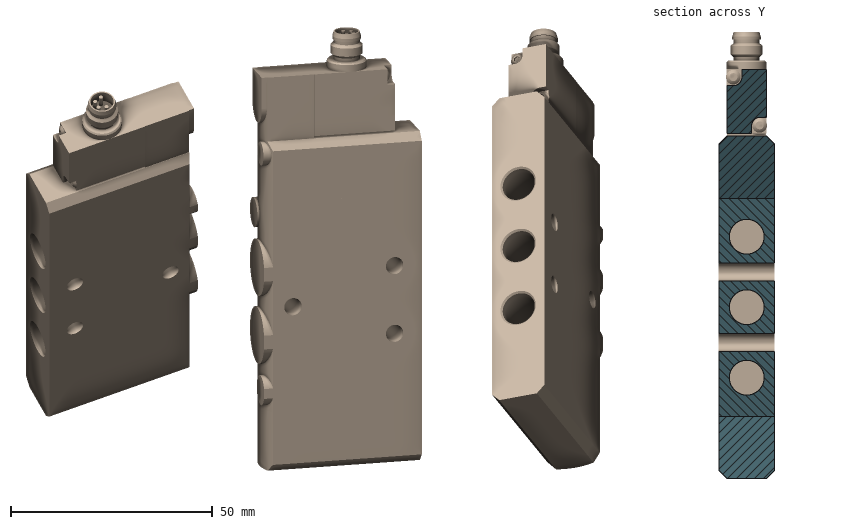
import cadquery as cq
import math

BLOCK_WIDTH = 14.0
BLOCK_HEIGHT = 85.0
BLOCK_DEPTH = 39.9
BLOCK_SIDE_DEPTH = 38.1
END_CHAMFER = 2.0
CAP_HEIGHT = 15.5
UPPER_JOINT = BLOCK_HEIGHT - CAP_HEIGHT
TOTAL_DEPTH = 40.4
TOTAL_HEIGHT = 110.7

HEAD_WIDTH = 9.9
POST_WIDTH = 9.7
PILOT_TOP = 101.5
PILOT_FRONT = 6.3
POST_FRONT = 27.0
HEAD_BOTTOM = 85.6

PORT_MID = BLOCK_HEIGHT / 2
PORT_PITCH = 17.5
PORT_DIAMETER = 8.5
PORT_MOUTH_DIAMETER = 9.4
PORT_DEPTH = 13.3
PORT_CHAMFER = (PORT_MOUTH_DIAMETER - PORT_DIAMETER) / 2

MOUNT_DIAMETER = 4.4
MOUNT_FRONT = 7.0
MOUNT_REAR = 33.0

LARGE_BOSS_DIAMETER = 14.4
SMALL_BOSS_DIAMETER = 7.5
TOP_BOSS_DIAMETER = 6.0
BOSS_OFFSET = 3.4
SMALL_BOSS_RISE = 22.0
TOP_BOSS_HEIGHT = 81.6
PAD_WIDTH = 9.4
PAD_BOTTOM = 88.8
BOSS_EMBED = 2.2
BOSS_ROOT = BLOCK_SIDE_DEPTH - BOSS_EMBED

PLUG_Y = 17.5
PLUG_BASE_DIAMETER = HEAD_WIDTH
PLUG_BASE_TOP = 103.6
PLUG_BASE_CHAMFER = 0.3
PLUG_NECK_DIAMETER = 6.5
COLLAR_DIAMETER = 8.0
COLLAR_BEVEL_BOTTOM = 104.5
COLLAR_BOTTOM = 105.2
COLLAR_TOP = 107.3
COLLAR_BEVEL_TOP = 107.9
RIM_DIAMETER = 7.1
RIM_BOTTOM = 108.8
RIM_CHAMFER = 0.3
RIM_CHAMFER_HEIGHT = 1.1
SOCKET_DIAMETER = 5.8
SOCKET_DEPTH = 3.3
PIN_DIAMETER = 1.0
PIN_LENGTH = 3.0
PIN_POSITIONS = [(-1.7, 0.4), (1.7, 0.4), (-1.0, -1.4), (1.0, -1.4)]

SCREW_INSET_X = 1.7
SCREW_INSET_Z = 2.0
POCKET_DIAMETER = 4.0
POCKET_DEPTH = 2.0
SCREW_HEAD_DIAMETER = 3.7
SCREW_FLAT_DIAMETER = 2.0
SCREW_HEAD_HEIGHT = 0.7
HEX_ACROSS_FLATS = 1.4
HEX_DEPTH = 0.4
POCKET_FLOOR = PILOT_FRONT + POCKET_DEPTH

screw_x = HEAD_WIDTH / 2 - SCREW_INSET_X
SCREW_CORNERS = [
    (-screw_x, PILOT_TOP - SCREW_INSET_Z, -1, 1),
    (screw_x, HEAD_BOTTOM + SCREW_INSET_Z, 1, -1),
]


def rod_along_y(x, z, diameter, y_start, y_end):
    """Cylinder parallel to Y."""
    solid = cq.Solid.makeCylinder(
        diameter / 2, y_end - y_start, cq.Vector(x, y_start, z), cq.Vector(0, 1, 0)
    )
    return cq.Workplane(solid)


def box_between(x_range, y_range, z_range):
    """Box given by its limits along each axis."""
    size = [high - low for low, high in (x_range, y_range, z_range)]
    corner = (x_range[0], y_range[0], z_range[0])
    return cq.Workplane().box(*size, centered=False).translate(corner)


def bowed_prism(height):
    """Prism standing on Z = 0 with flat front and sides and a bowed rear face."""
    half = BLOCK_WIDTH / 2
    return (
        cq.Workplane()
        .moveTo(-half, 0)
        .lineTo(half, 0)
        .lineTo(half, BLOCK_SIDE_DEPTH)
        .threePointArc((0, BLOCK_DEPTH), (-half, BLOCK_SIDE_DEPTH))
        .close()
        .extrude(height)
    )


def block_section(z_bottom, z_top):
    """Part of the valve block between two heights, with the long end edges chamfered."""
    half = BLOCK_WIDTH / 2
    inner = half - END_CHAMFER
    profile = (
        cq.Workplane("XZ")
        .polyline([
            (-inner, 0), (inner, 0), (half, END_CHAMFER), (half, BLOCK_HEIGHT - END_CHAMFER),
            (inner, BLOCK_HEIGHT), (-inner, BLOCK_HEIGHT),
            (-half, BLOCK_HEIGHT - END_CHAMFER), (-half, END_CHAMFER),
        ])
        .close()
        .extrude(-TOTAL_DEPTH)
    )
    section = box_between((-half, half), (0, TOTAL_DEPTH), (z_bottom, z_top))
    return bowed_prism(BLOCK_HEIGHT).intersect(profile).intersect(section)


def make_pilot():
    """Post on the block, sharing its bowed rear face, and the head in front of the post."""
    half_post = POST_WIDTH / 2
    half_head = HEAD_WIDTH / 2
    post_limits = box_between((-half_post, half_post), (POST_FRONT, TOTAL_DEPTH), (UPPER_JOINT, PILOT_TOP))
    post = bowed_prism(PILOT_TOP).intersect(post_limits)
    head = box_between((-half_head, half_head), (PILOT_FRONT, POST_FRONT), (HEAD_BOTTOM, PILOT_TOP))
    return post.union(head)


def rear_boss(x, z, diameter):
    """Round boss on the rear face, cut off flush with the sides of the block."""
    half = BLOCK_WIDTH / 2
    limits = box_between((-half, half), (BOSS_ROOT, TOTAL_DEPTH), (0, TOTAL_HEIGHT))
    return rod_along_y(x, z, diameter, BOSS_ROOT, TOTAL_DEPTH).intersect(limits)


def make_rear_pad():
    """Flat pad behind the post, with a round lower end."""
    half = PAD_WIDTH / 2
    centre = PAD_BOTTOM + half
    pad = box_between((-half, half), (BOSS_ROOT, TOTAL_DEPTH), (centre, PILOT_TOP))
    return pad.union(rear_boss(0, centre, PAD_WIDTH))


def make_plug():
    """Turned plug with a collar, a rim and a socket that holds the contact pins."""
    base = PLUG_BASE_DIAMETER / 2
    neck = PLUG_NECK_DIAMETER / 2
    collar = COLLAR_DIAMETER / 2
    rim = RIM_DIAMETER / 2
    socket = SOCKET_DIAMETER / 2
    socket_floor = TOTAL_HEIGHT - SOCKET_DEPTH
    plug = (
        cq.Workplane("XZ")
        .polyline([
            (0, PILOT_TOP), (base, PILOT_TOP),
            (base, PLUG_BASE_TOP - PLUG_BASE_CHAMFER), (base - PLUG_BASE_CHAMFER, PLUG_BASE_TOP),
            (neck, PLUG_BASE_TOP), (neck, COLLAR_BEVEL_BOTTOM),
            (collar, COLLAR_BOTTOM), (collar, COLLAR_TOP),
            (neck, COLLAR_BEVEL_TOP), (neck, RIM_BOTTOM),
            (rim, RIM_BOTTOM), (rim, TOTAL_HEIGHT - RIM_CHAMFER_HEIGHT),
            (rim - RIM_CHAMFER, TOTAL_HEIGHT), (socket, TOTAL_HEIGHT),
            (socket, socket_floor), (0, socket_floor),
        ])
        .close()
        .revolve(360, (0, 0), (0, 1))
    )
    pins = (
        cq.Workplane()
        .workplane(offset=socket_floor)
        .pushPoints(PIN_POSITIONS)
        .circle(PIN_DIAMETER / 2)
        .extrude(PIN_LENGTH)
    )
    return plug.union(pins).translate((0, PLUG_Y, 0))


def make_port(z):
    """Cutter for one blind port with a chamfered mouth."""
    bore = rod_along_y(0, z, PORT_DIAMETER, 0, PORT_DEPTH)
    mouth = cq.Solid.makeCone(
        PORT_MOUTH_DIAMETER / 2, PORT_DIAMETER / 2, PORT_CHAMFER,
        cq.Vector(0, 0, z), cq.Vector(0, 1, 0),
    )
    return bore.union(cq.Workplane(mouth))


def make_screw_pocket(x, z, side_x, side_z):
    """Cutter for a corner recess with one round inner corner."""
    radius = POCKET_DIAMETER / 2
    y_range = (PILOT_FRONT, POCKET_FLOOR)
    side_slot = box_between(sorted((x, x + side_x * radius)), y_range, (z - radius, z + radius))
    end_slot = box_between((x - radius, x + radius), y_range, sorted((z, z + side_z * radius)))
    round_end = rod_along_y(x, z, POCKET_DIAMETER, *y_range)
    return side_slot.union(end_slot).union(round_end)


def make_screw_head(x, z):
    """Domed screw head with a hexagon socket, standing on the pocket floor."""
    rim = SCREW_HEAD_DIAMETER / 2
    flat = SCREW_FLAT_DIAMETER / 2
    head_front = POCKET_FLOOR - SCREW_HEAD_HEIGHT
    dome_centre = (rim**2 - flat**2 - SCREW_HEAD_HEIGHT**2) / (2 * SCREW_HEAD_HEIGHT)
    dome = cq.Workplane().sphere(math.hypot(rim, dome_centre))
    dome = dome.translate((x, POCKET_FLOOR + dome_centre, z))
    head = rod_along_y(x, z, SCREW_HEAD_DIAMETER, head_front, POCKET_FLOOR).intersect(dome)
    across_corners = HEX_ACROSS_FLATS / math.cos(math.pi / 6)
    socket = (
        cq.Workplane("XZ", origin=(x, head_front, z))
        .transformed(rotate=(0, 0, 90))
        .polygon(6, across_corners)
        .extrude(-HEX_DEPTH)
    )
    return head.cut(socket)


def make_lower_cap():
    """Plain end cap under the valve body."""
    return block_section(0, CAP_HEIGHT)


def make_valve_body():
    """Middle of the block with the rear bosses, the front ports and the mounting holes."""
    body = block_section(CAP_HEIGHT, UPPER_JOINT)
    for side in (-1, 1):
        body = body.union(rear_boss(0, PORT_MID + side * PORT_PITCH / 2, LARGE_BOSS_DIAMETER))
        body = body.union(
            rear_boss(side * BOSS_OFFSET, PORT_MID + side * SMALL_BOSS_RISE, SMALL_BOSS_DIAMETER)
        )
    for step in (-1, 0, 1):
        body = body.cut(make_port(PORT_MID + step * PORT_PITCH))
    mount_places = [
        (MOUNT_FRONT, PORT_MID + PORT_PITCH / 2),
        (MOUNT_FRONT, PORT_MID - PORT_PITCH / 2),
        (MOUNT_REAR, PORT_MID),
    ]
    mount_holes = (
        cq.Workplane("YZ")
        .pushPoints(mount_places)
        .circle(MOUNT_DIAMETER / 2)
        .extrude(BLOCK_WIDTH / 2, both=True)
    )
    return body.cut(mount_holes)


def make_upper_cap():
    """End cap above the valve body, carrying the pilot valve and its plug."""
    cap = block_section(UPPER_JOINT, BLOCK_HEIGHT).union(make_pilot())
    cap = cap.union(rear_boss(-BOSS_OFFSET, TOP_BOSS_HEIGHT, TOP_BOSS_DIAMETER))
    cap = cap.union(make_rear_pad()).union(make_plug())
    for x, z, side_x, side_z in SCREW_CORNERS:
        cap = cap.cut(make_screw_pocket(x, z, side_x, side_z))
        cap = cap.union(make_screw_head(x, z))
    return cap


lower_cap = make_lower_cap().solids()
valve_body = make_valve_body().solids()
upper_cap = make_upper_cap().solids()

result = cq.Compound.makeCompound([lower_cap.val(), valve_body.val(), upper_cap.val()])